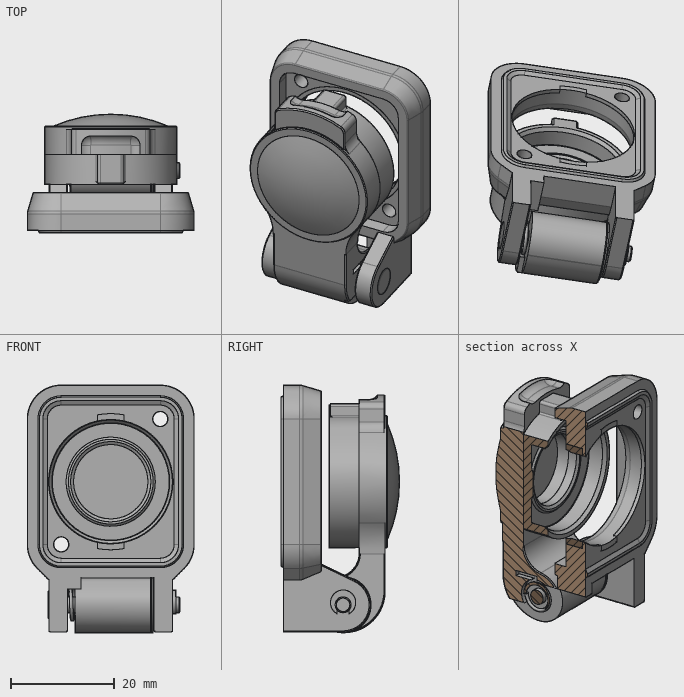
import cadquery as cq
import math


frame_half_width = 16.05
frame_half_height = 18.6
corner_radius = 6.55
frame_depth = 7.3
taper_start = 3.45
taper_inset = 1.15
taper_blend_radius = 2.15
frame_back_round = 0.25
wall_thickness = 2.05
web_thickness = 4.65
screw_hole_radius = 1.45
opening_radius = 11.95

hinge_y = 11.5
hinge_z = -23.7
lug_outer_x = 11.9
lug_inner_x = 8.3
lug_radius = 5.25
lug_slope_angle = 25.7
lug_chamfer = 0.25
knuckle_gap_z = -18.5
stop_bottom_z = -20.7
stop_inner_x = -5.7
stop_depth = 6.65
stop_overlap = 0.95

seal_height = 0.5
seal_outer_inset = 2.05
seal_outer_slope = 0.3
seal_inner_inset = 3.0
seal_inner_slope = 0.85

lip_thickness = 0.8
liner_outer_radius = 13.1
liner_mouth_radius = 12.25
liner_mouth_y = 3.45
liner_tab_half_width = 2.57

lid_radius = 12.75
lid_front_y = 14.6
lid_back_y = 20.05
lid_edge_chamfer = 0.2
dome_radius = 11.0
dome_top_y = 22.35
lid_cavity_radius = 7.15
lid_cavity_y = 17.15
root_inner_z = lid_cavity_radius + 0.5
arm_back_y = 19.6
arm_half_width = 7.85
arm_edge_chamfer = 0.25
arm_bend_radius = 8.0
arm_neck_radius = 9.72
arm_top_z = -0.8 * lid_radius
barrel_radius = 5.4
barrel_left_x = -6.85
barrel_right_x = 8.15
spring_pocket_radius = 3.58
crook_radius = 4.7
spring_gap_top_z = -25.7
leg_slot_back_y = 16.35
leg_slot_bottom_z = -20.35
leg_slot_top_z = -19.35

grip_radius = 16.75
grip_half_width = 7.6
grip_corner_radius = 1.45
grip_root_radius = 2.75
grip_edge_chamfer = 0.25
finger_floor_radius = 15.85
finger_half_width = 6.4
finger_back_y = 18.45
finger_corner_radius = 2.15
finger_floor_round = 2.0

cup_front_y = 8.8
cup_floor_y = 12.75
cup_bore_radius = 11.35
cup_mouth_radius = 11.85
cup_mouth_depth = 0.7
cup_floor_chamfer = 0.1
lip_outer_radius = 8.6
lip_crest_outer_radius = 8.15
lip_crest_inner_radius = 7.7
lip_height = 0.4
key_half_width = 2.55
key_top_z = 15.0
key_corner_radius = 0.55
key_root_radius = 0.4
key_front_chamfer = 0.3

pin_radius = 1.53
pin_head_radius = 2.6
pin_head_depth = 0.95
pin_head_proud = 0.15
pin_head_round = 0.9 * pin_head_proud
pin_end_x = 13.35
pin_end_chamfer = 0.25
groove_radius = 1.15
clip_radius = 2.45
clip_thickness = 0.6
clip_offset_z = 0.45
wire_radius = 0.35
coil_outer_radius = 3.15
coil_pitch = 0.69

margin = 0.05
clear = 2.4


def plane_y(y):
    """Workplane at depth y with local axes X and Z; a negative extrusion runs toward +Y."""
    return cq.Workplane("XZ", origin=(0, y, 0))


def plane_x(x):
    """Workplane at position x with local axes Y and Z; extrusion runs toward +X."""
    return cq.Workplane("YZ", origin=(x, 0, 0))


def disc_y(radius, y_start, y_end):
    """Disc about the axis of the opening."""
    return plane_y(y_start).circle(radius).extrude(y_start - y_end)


def disc_x(radius, x_start, x_end):
    """Disc about the hinge axis."""
    return plane_x(x_start).center(hinge_y, hinge_z).circle(radius).extrude(x_end - x_start)


def box(x_range, y_range, z_range):
    size = [high - low for low, high in (x_range, y_range, z_range)]
    corner = (x_range[0], y_range[0], z_range[0])
    return cq.Workplane("XY").box(*size, centered=False).translate(corner)


def rounded_block(inset, y, height, taper=0):
    """Rounded rectangle inside the frame outline, extruded toward -Y for a positive height."""
    return (
        plane_y(y)
        .sketch()
        .rect(2 * (frame_half_width - inset), 2 * (frame_half_height - inset))
        .vertices()
        .fillet(corner_radius - inset)
        .finalize()
        .extrude(height, taper=taper)
    )


def mid_arc(center, start, end, radius):
    """Point of an arc halfway between its ends."""
    da = (start[0] + end[0]) / 2 - center[0]
    db = (start[1] + end[1]) / 2 - center[1]
    scale = radius / math.hypot(da, db)
    return (center[0] + da * scale, center[1] + db * scale)


def mirrored(point):
    return (-point[0], point[1])



corner_x = frame_half_width - corner_radius
corner_z = frame_half_height - corner_radius
diagonal = corner_radius * math.sqrt(0.5)


def frame_outline(y):
    """Rounded rectangle whose lower corners run on at 45 degrees into the hinge lugs."""
    shoulder_x = corner_x + diagonal
    shoulder_z = -corner_z - diagonal
    root_z = shoulder_z - (shoulder_x - lug_outer_x)
    lower_arc_z = -corner_z - corner_radius * math.sin(math.radians(22.5))
    lower_arc_x = corner_x + corner_radius * math.cos(math.radians(22.5))
    return (
        plane_y(y)
        .moveTo(-corner_x, frame_half_height)
        .lineTo(corner_x, frame_half_height)
        .threePointArc((corner_x + diagonal, corner_z + diagonal), (frame_half_width, corner_z))
        .lineTo(frame_half_width, -corner_z)
        .threePointArc((lower_arc_x, lower_arc_z), (shoulder_x, shoulder_z))
        .lineTo(lug_outer_x, root_z)
        .lineTo(-lug_outer_x, root_z)
        .lineTo(-shoulder_x, shoulder_z)
        .threePointArc((-lower_arc_x, lower_arc_z), (-frame_half_width, -corner_z))
        .lineTo(-frame_half_width, corner_z)
        .threePointArc((-corner_x - diagonal, corner_z + diagonal), (-corner_x, frame_half_height))
        .close()
    )


def frame_plate():
    """Straight front part and tapered back part with a blended bend between them."""
    taper_depth = frame_depth - taper_start
    taper_angle = math.degrees(math.atan2(taper_inset, taper_depth))
    straight = frame_outline(0).extrude(-taper_start)
    tapered = frame_outline(taper_start).extrude(-taper_depth, taper=taper_angle)
    plate = straight.union(tapered)
    plate = plate.faces(">Y").edges().fillet(frame_back_round)
    bend = cq.selectors.BoxSelector(
        (-frame_half_width - clear, taper_start - margin, -frame_half_height - clear),
        (frame_half_width + clear, taper_start + margin, frame_half_height + clear),
        boundingbox=True,
    )
    return plate.edges(bend).fillet(taper_blend_radius)


def lug(x_start):
    """Hinge ear: flat below, round about the hinge axis, sloping up to the back of the frame."""
    slope = math.radians(lug_slope_angle)
    tangent_y = hinge_y + lug_radius * math.sin(slope)
    tangent_z = hinge_z + lug_radius * math.cos(slope)
    slope_top_z = tangent_z + (tangent_y - frame_depth) * math.tan(slope)
    return (
        plane_x(x_start)
        .moveTo(0, hinge_z - lug_radius)
        .lineTo(hinge_y, hinge_z - lug_radius)
        .threePointArc((hinge_y + lug_radius, hinge_z), (tangent_y, tangent_z))
        .lineTo(frame_depth, slope_top_z)
        .lineTo(0, slope_top_z)
        .close()
        .extrude(lug_outer_x - lug_inner_x)
        .faces("<X or >X")
        .edges("not <Y")
        .edges("not >Z")
        .chamfer(lug_chamfer)
    )


def back_recess():
    """Hollow behind the web, leaving an even wall along the back edge."""
    return rounded_block(taper_inset + wall_thickness, web_thickness, web_thickness - frame_depth)


def tab_pair():
    """Two tabs, above and below the opening, as thick as the front lip."""
    band = disc_y(liner_outer_radius, 0, lip_thickness)
    strip = box(
        (-liner_tab_half_width, liner_tab_half_width),
        (0, lip_thickness),
        (-liner_outer_radius, liner_outer_radius),
    )
    return band.intersect(strip)


def liner_blank():
    """Outer shape of the liner, which is also the shape of its seat in the frame."""
    return disc_y(liner_outer_radius, lip_thickness, web_thickness).union(tab_pair())


def make_frame():
    frame = frame_plate()
    knuckle_gap = box(
        (-lug_inner_x, lug_inner_x),
        (0, frame_depth),
        (-frame_half_height - clear, knuckle_gap_z),
    )
    stop = box(
        (-lug_inner_x, stop_inner_x),
        (0, stop_depth),
        (stop_bottom_z, knuckle_gap_z + stop_overlap),
    )
    frame = frame.cut(knuckle_gap).union(stop)
    for x_start in (-lug_outer_x, lug_inner_x):
        frame = frame.union(lug(x_start))
    frame = frame.cut(back_recess())
    frame = frame.cut(disc_y(opening_radius, 0, web_thickness)).cut(liner_blank())
    for x, z in ((corner_x, corner_z), (-corner_x, -corner_z)):
        hole = plane_y(0).center(x, z).circle(screw_hole_radius).extrude(-frame_depth)
        frame = frame.cut(hole)
    frame = frame.cut(disc_x(pin_radius, -lug_outer_x, lug_outer_x))
    return frame.cut(disc_x(pin_head_radius, -lug_outer_x, -lug_outer_x + pin_head_depth))




def make_frame_seal():
    """Raised rectangular bead with leaning sides on the mounting face."""
    outer_angle = math.degrees(math.atan2(seal_outer_slope, seal_height))
    inner_angle = math.degrees(math.atan2(seal_inner_slope, seal_height))
    outer = rounded_block(seal_outer_inset, 0, seal_height, outer_angle)
    inner = rounded_block(seal_inner_inset + seal_inner_slope, 0, seal_height, -inner_angle)
    return outer.cut(inner)




def make_liner():
    """Ring behind the front lip with two tabs through it and a flared back mouth."""
    bore_points = [
        (0, 0),
        (opening_radius, 0),
        (opening_radius, liner_mouth_y),
        (liner_mouth_radius, web_thickness),
        (0, web_thickness),
    ]
    bore = cq.Workplane("XY").polyline(bore_points).close().revolve(360, (0, 0), (0, 1))
    return liner_blank().cut(bore)




def lid_disc():
    """Domed disc, hollow below the dome."""
    rise = dome_top_y - lid_back_y
    sphere_radius = (dome_radius**2 + rise**2) / (2 * rise)
    middle = dome_radius / 2
    middle_y = dome_top_y - sphere_radius + math.sqrt(sphere_radius**2 - middle**2)
    return (
        cq.Workplane("XY")
        .moveTo(0, lid_cavity_y)
        .lineTo(lid_cavity_radius, lid_cavity_y)
        .lineTo(lid_cavity_radius, lid_front_y)
        .lineTo(lid_radius, lid_front_y)
        .lineTo(lid_radius, lid_back_y - lid_edge_chamfer)
        .lineTo(lid_radius - lid_edge_chamfer, lid_back_y)
        .lineTo(dome_radius, lid_back_y)
        .threePointArc((middle, middle_y), (0, dome_top_y))
        .close()
        .revolve(360, (0, 0), (0, 1))
    )


def flared_root(half_width, flare_radius, depth):
    """Web below the rim of the lid with two concave flares that run tangent into the rim."""
    reach = lid_radius + flare_radius
    center_x = half_width + flare_radius
    center = (center_x, -math.sqrt(reach**2 - center_x**2))
    scale = lid_radius / reach
    on_rim = (center[0] * scale, center[1] * scale)
    on_side = (half_width, center[1])
    middle = mid_arc(center, on_rim, on_side, flare_radius)
    return (
        plane_y(lid_front_y)
        .moveTo(*on_rim)
        .threePointArc(middle, on_side)
        .lineTo(*mirrored(on_side))
        .threePointArc(mirrored(middle), mirrored(on_rim))
        .lineTo(0, -root_inner_z)
        .close()
        .extrude(-depth)
    )


def finger_recess():
    """Scoop in the top of the grip, open toward the front."""
    block = box(
        (-finger_half_width, finger_half_width),
        (lid_front_y - finger_corner_radius, finger_back_y),
        (0, grip_radius + clear),
    )
    block = block.edges("|Z and >Y").fillet(finger_corner_radius)
    block = block.cut(disc_y(finger_floor_radius, 0, lid_back_y))
    return block.faces("<Z").edges("not <Y").fillet(finger_floor_round)


def lid_grip():
    """Thumb grip with a round top, rounded shoulders and straight sides."""
    inner_radius = grip_radius - grip_corner_radius
    shoulder_x = grip_half_width - grip_corner_radius
    shoulder = (shoulder_x, math.sqrt(inner_radius**2 - shoulder_x**2))
    side_top = (grip_half_width, shoulder[1])
    side_bottom = (grip_half_width, root_inner_z)
    top_end = (shoulder[0] * grip_radius / inner_radius, shoulder[1] * grip_radius / inner_radius)
    shoulder_mid = mid_arc(shoulder, side_top, top_end, grip_corner_radius)
    grip = (
        plane_y(lid_front_y)
        .moveTo(*side_bottom)
        .lineTo(*side_top)
        .threePointArc(shoulder_mid, top_end)
        .threePointArc((0, grip_radius), mirrored(top_end))
        .threePointArc(mirrored(shoulder_mid), mirrored(side_top))
        .lineTo(*mirrored(side_bottom))
        .close()
        .extrude(lid_front_y - arm_back_y)
        .faces(">Y")
        .edges("not <Z")
        .chamfer(grip_edge_chamfer)
    )
    return grip.cut(finger_recess())


def grip_root():
    """Flares at the foot of the grip, ending where its edge chamfer starts."""
    depth = arm_back_y - grip_edge_chamfer - lid_front_y
    root = flared_root(grip_half_width, grip_root_radius, depth)
    return root.rotate((0, 0, 0), (0, 1, 0), 180)


def lid_arm():
    """Arm that bends round into the barrel of the hinge."""
    crook_y = lid_front_y - crook_radius
    reach = barrel_radius + crook_radius
    crook_z = hinge_z + math.sqrt(reach**2 - (hinge_y - crook_y) ** 2)
    share = barrel_radius / reach
    on_barrel = (hinge_y + (crook_y - hinge_y) * share, hinge_z + (crook_z - hinge_z) * share)
    on_arm = (lid_front_y, crook_z)
    crook_mid = mid_arc((crook_y, crook_z), on_arm, on_barrel, crook_radius)
    bend = (arm_back_y - arm_bend_radius, hinge_z - barrel_radius + arm_bend_radius)
    bend_bottom = (bend[0], bend[1] - arm_bend_radius)
    bend_top = (arm_back_y, bend[1])
    return (
        plane_x(-arm_half_width)
        .moveTo(lid_front_y, arm_top_z)
        .lineTo(*on_arm)
        .threePointArc(crook_mid, on_barrel)
        .threePointArc((hinge_y - barrel_radius, hinge_z), (hinge_y, hinge_z - barrel_radius))
        .lineTo(*bend_bottom)
        .threePointArc(mid_arc(bend, bend_bottom, bend_top, arm_bend_radius), bend_top)
        .lineTo(arm_back_y, arm_top_z)
        .close()
        .extrude(2 * arm_half_width)
        .faces("<X or >X")
        .edges(">Y or (<Z and %CIRCLE)")
        .chamfer(arm_edge_chamfer)
    )


def spring_gap():
    """Space beside the barrel for the spring, with a slot for its leg."""
    x_range = (-lug_inner_x, barrel_left_x)
    bottom_z = hinge_z - 2 * barrel_radius
    pocket = disc_x(spring_pocket_radius, *x_range)
    front = box(x_range, (0, hinge_y), (bottom_z, stop_bottom_z))
    below = box(x_range, (0, lid_back_y), (bottom_z, spring_gap_top_z))
    leg_slot = box(x_range, (hinge_y, leg_slot_back_y), (leg_slot_bottom_z, leg_slot_top_z))
    return pocket.union(front).union(below).union(leg_slot)


def make_lid():
    neck = flared_root(arm_half_width, arm_neck_radius, arm_back_y - lid_front_y)
    barrel_end = disc_x(barrel_radius, arm_half_width, barrel_right_x)
    lid = lid_disc()
    for part in (lid_grip(), grip_root(), neck, lid_arm(), barrel_end):
        lid = lid.union(part)
    lid = lid.cut(spring_gap())
    return lid.cut(disc_x(pin_radius, -lug_inner_x, lug_inner_x))




def seal_cup():
    """Cup with a flared mouth and a raised lip around the hole in its floor."""
    points = [
        (lid_cavity_radius, lid_front_y),
        (lid_cavity_radius, cup_floor_y),
        (lip_crest_inner_radius, cup_floor_y - lip_height),
        (lip_crest_outer_radius, cup_floor_y - lip_height),
        (lip_outer_radius, cup_floor_y),
        (cup_bore_radius - cup_floor_chamfer, cup_floor_y),
        (cup_bore_radius, cup_floor_y - cup_floor_chamfer),
        (cup_bore_radius, cup_front_y + cup_mouth_depth),
        (cup_mouth_radius, cup_front_y),
        (lid_radius, cup_front_y),
        (lid_radius, lid_front_y),
    ]
    return cq.Workplane("XY").polyline(points).close().revolve(360, (0, 0), (0, 1))


def seal_key():
    """Key on the crown of the cup, with a chamfered front edge."""
    key = box(
        (-key_half_width, key_half_width),
        (cup_front_y, lid_front_y),
        (cup_mouth_radius, key_top_z),
    )
    key = key.edges("|Y and >Z").fillet(key_corner_radius)
    key = key.edges("<Y and >Z").chamfer(key_front_chamfer)
    return key.cut(disc_y(cup_mouth_radius, cup_front_y, lid_front_y))


def make_lid_seal():
    seal = seal_cup().union(seal_key())
    root_z = math.sqrt(lid_radius**2 - key_half_width**2)
    roots = cq.selectors.BoxSelector(
        (-key_half_width - margin, cup_front_y - margin, root_z - margin),
        (key_half_width + margin, lid_front_y + margin, root_z + margin),
        boundingbox=True,
    )
    return seal.edges(roots).edges("|Y").fillet(key_root_radius)



clip_end_x = lug_outer_x + clip_thickness


def make_pin():
    """Headed pin with a groove for the clip near its far end."""
    head_start = -lug_outer_x - pin_head_proud
    head = disc_x(pin_head_radius, head_start, -lug_outer_x + pin_head_depth)
    head = head.faces("<X").edges().fillet(pin_head_round)
    shank = disc_x(pin_radius, -lug_outer_x, pin_end_x).faces(">X").chamfer(pin_end_chamfer)
    core = disc_x(groove_radius, lug_outer_x, clip_end_x)
    groove = disc_x(pin_radius, lug_outer_x, clip_end_x).cut(core)
    return head.union(shank).cut(groove)


def make_clip():
    """Retaining clip, open downward and seated in the groove of the pin."""
    clip = disc_x(clip_radius, lug_outer_x, clip_end_x).translate((0, 0, clip_offset_z))
    mouth = box(
        (lug_outer_x, clip_end_x),
        (hinge_y - groove_radius, hinge_y + groove_radius),
        (hinge_z - 2 * clip_radius, hinge_z),
    )
    return clip.cut(mouth).cut(disc_x(groove_radius, lug_outer_x, clip_end_x))


def make_spring():
    """Single turn of round wire about the hinge pin, its ends toward the lid."""
    coil_radius = coil_outer_radius - wire_radius
    helix = cq.Wire.makeHelix(coil_pitch, coil_pitch, coil_radius)
    coil = cq.Workplane("XZ", origin=(coil_radius, 0, 0)).circle(wire_radius)
    coil = coil.sweep(cq.Workplane(obj=helix), isFrenet=True)
    coil = coil.rotate((0, 0, 0), (0, 1, 0), 90).rotate((0, 0, 0), (1, 0, 0), 90)
    start_x = (-lug_inner_x + barrel_left_x - coil_pitch) / 2
    return coil.translate((start_x, hinge_y, hinge_z))


frame = make_frame()
frame_seal = make_frame_seal()
liner = make_liner()
lid = make_lid()
lid_seal = make_lid_seal()
pin = make_pin()
clip = make_clip()
spring = make_spring()

bodies = [frame, frame_seal, liner, lid, lid_seal, pin, clip, spring]
result = cq.Compound.makeCompound([body.val() for body in bodies])